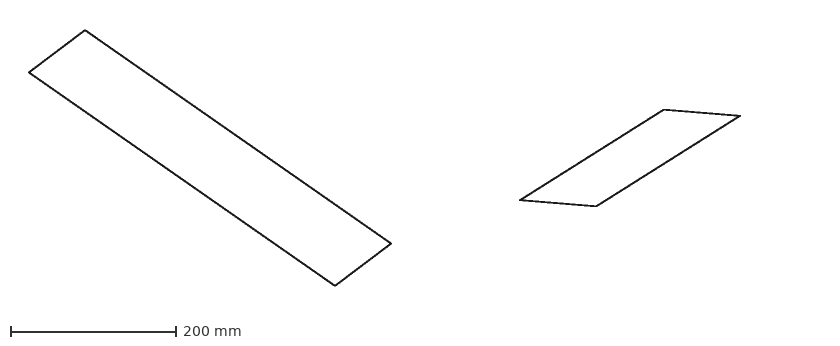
import cadquery as cq

length = 514.0
width = 98.0
thickness = 0.1

result = cq.Workplane("XY").box(length, width, thickness, centered=(True, True, False))